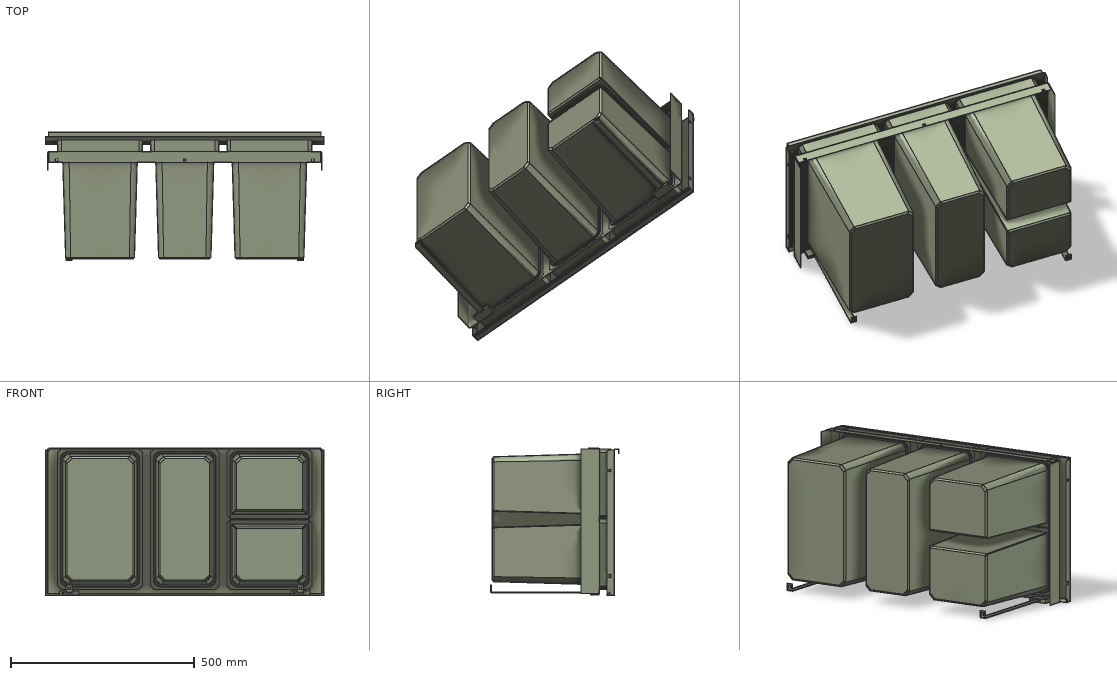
import cadquery as cq
import math


SHEET = 1.0

LID_WIDTH = 760.0
LID_FACE_Y = -12.0
LID_FRONT_Y = -33.0
LID_SIDE_HEIGHT = 397.5
LID_CORNER_CHAMFER = 5.0
HOOK_WIDTH = 745.0
HOOK_TOP_Z = 400.0
HOOK_DROP = 12.5
HOOK_BEND = 2.5
SILL_TOP_Z = 9.0
SILL_FRONT_Y = -25.0
NOTCH_DEPTH = 10.5
NOTCHES = ((338.0, 6.0), (49.0, 9.0))

FRAME_WIDTH = 748.0
FRAME_BACK_Y = -53.0
FRAME_BOTTOM_Z = 5.0
FRAME_SIDE_TOP_Z = 400.0
FRAME_TOP_Z = 402.0
FRAME_SIDE_DEPTH = 50.5
FRAME_TOP_DEPTH = 29.5
FRAME_TOP_WIDTH = 742.0
FRAME_SIDE_BEND = 4.0
FRAME_TOP_BEND = 3.0
FRAME_HOLE_X = (-350.0, 0.0, 350.0)
FRAME_HOLE_Y = -76.0
FRAME_HOLE_SIZE = (7.0, 4.5)
FRAME_FRONT_Y = FRAME_BACK_Y - SHEET

COLLAR_BACK_Y = -21.0
COLLAR_BOTTOM_Z = 16.0
COLLAR_TOP_Z = 400.5
COLLAR_CHAMFER = 10.0
COLLAR_MIDDLE_Z = (COLLAR_BOTTOM_Z + COLLAR_TOP_Z) / 2
FULL_HEIGHT = (COLLAR_BOTTOM_Z, COLLAR_TOP_Z)
WIDE_BIN_WIDTH = 231.5
NARROW_BIN_WIDTH = 186.5
BIN_GAP = 22.25
MIDDLE_COLUMN = (-NARROW_BIN_WIDTH / 2, NARROW_BIN_WIDTH / 2)
RIGHT_COLUMN = (MIDDLE_COLUMN[1] + BIN_GAP, MIDDLE_COLUMN[1] + BIN_GAP + WIDE_BIN_WIDTH)
LEFT_COLUMN = (-RIGHT_COLUMN[1], -RIGHT_COLUMN[0])
BIN_COLUMNS = (LEFT_COLUMN, MIDDLE_COLUMN, RIGHT_COLUMN)
OPENING_INSET = 7.5
OPENING_RADIUS = 22.0
RIM_FRONT_Y = FRAME_FRONT_Y - 3.0
RIM_CHAMFER = 1.5
BODY_INSET = 13.0
BODY_DRAFT = 8.5
BODY_RADIUS = 18.0
FLOOR_Y = -346.0
FLOOR_CORNER = 14.0
FLOOR_CHAMFER = 4.5
DIVIDER_CORNER = 2.0

ARM_X = 315.5
ARM_WIDTH = 16.0
ARM_THICKNESS = 2.0
ARM_BOTTOM_Z = 7.0
ARM_FRONT_Y = -350.3
ARM_TAB_TOP_Z = 28.0
ARM_BEND = 4.0
ARM_TAB_HOLE = 7.0
ARM_TAB_HOLE_Z = 19.5
BRACKET_WIDTH = 52.0
BRACKET_DEPTH = 23.0
BRACKET_BOTTOM_Z = 1.5
BRACKET_TOP_Z = 12.0
SCREW_HOLE_OFFSET = 17.0
SCREW_HOLE_DIAMETER = 4.0
LUG_LENGTH = 14.0
LUG_DEPTH = 10.0
LUG_TOP_Z = 18.0


def block(x_range, y_range, z_range):
    """Box between the given limits."""
    size = [high - low for low, high in (x_range, y_range, z_range)]
    corner = (x_range[0], y_range[0], z_range[0])
    return cq.Workplane("XY").box(*size, centered=False).translate(corner)


def side_profile(points, width):
    """Closed (Y, Z) outline extruded across X, centred on X = 0."""
    return cq.Workplane("YZ").polyline(points).close().extrude(width / 2, both=True)


def outline(x_range, z_range, y, bottom_corner, top_corner, arcs=False):
    """Closed outline in the plane Y = y whose four corners are cut off straight or by arcs."""
    left, right = x_range
    low, high = z_range
    b = bottom_corner
    t = top_corner
    arc_cut = 1 - math.sqrt(0.5)
    sketch = cq.Workplane("XZ", origin=(0, y, 0)).moveTo(left + b, low)

    def corner(middle, end):
        return sketch.threePointArc(middle, end) if arcs else sketch.lineTo(*end)

    sketch = sketch.lineTo(right - b, low)
    sketch = corner((right - b * arc_cut, low + b * arc_cut), (right, low + b))
    sketch = sketch.lineTo(right, high - t)
    sketch = corner((right - t * arc_cut, high - t * arc_cut), (right - t, high))
    sketch = sketch.lineTo(left + t, high)
    sketch = corner((left + t * arc_cut, high - t * arc_cut), (left, high - t))
    sketch = sketch.lineTo(left, low + b)
    sketch = corner((left + b * arc_cut, low + b * arc_cut), (left + b, low))
    return sketch.close()


def inset_range(limits, inset):
    """Limits moved inwards by the same amount at both ends."""
    return (limits[0] + inset, limits[1] - inset)


def make_lid():
    """Panel hooked over at the top, with a sill and a 45 degree lip below and two side flanges."""
    half = LID_WIDTH / 2
    inner_y = LID_FACE_Y - SHEET
    panel = block((-half, half), (inner_y, LID_FACE_Y), (0, LID_SIDE_HEIGHT))
    hook = side_profile(
        [
            (inner_y, LID_SIDE_HEIGHT - SHEET),
            (inner_y, HOOK_TOP_Z),
            (0, HOOK_TOP_Z),
            (0, HOOK_TOP_Z - HOOK_DROP),
            (-SHEET, HOOK_TOP_Z - HOOK_DROP),
            (-SHEET, HOOK_TOP_Z - SHEET),
            (LID_FACE_Y, HOOK_TOP_Z - SHEET),
            (LID_FACE_Y, LID_SIDE_HEIGHT - SHEET),
        ],
        HOOK_WIDTH,
    )
    hook = hook.edges("|X and >Y and >Z").fillet(HOOK_BEND)
    hook = hook.edges("|X and <Y and >Z").fillet(HOOK_BEND)
    lip_drop = SILL_FRONT_Y - LID_FRONT_Y
    lip_edge = SHEET * math.sqrt(0.5)
    sill = side_profile(
        [
            (inner_y, 0),
            (inner_y, SHEET),
            (SILL_FRONT_Y + SHEET, SHEET),
            (SILL_FRONT_Y + SHEET, SILL_TOP_Z),
            (SILL_FRONT_Y, SILL_TOP_Z),
            (LID_FRONT_Y, SILL_TOP_Z - lip_drop),
            (LID_FRONT_Y + lip_edge, SILL_TOP_Z - lip_drop - lip_edge),
            (SILL_FRONT_Y, SILL_TOP_Z - 2 * lip_edge),
            (SILL_FRONT_Y, 0),
        ],
        LID_WIDTH - 2 * SHEET,
    )
    lid = panel.union(hook).union(sill)
    for outer in (-half, half):
        inner = outer - math.copysign(SHEET, outer)
        x_range = sorted((outer, inner))
        flange = block(x_range, (LID_FRONT_Y, LID_FACE_Y), (0, LID_SIDE_HEIGHT))
        flange = flange.edges("|X and <Y and >Z").chamfer(LID_CORNER_CHAMFER)
        for notch_z, notch_height in NOTCHES:
            notch_y = (LID_FRONT_Y, LID_FRONT_Y + NOTCH_DEPTH)
            flange = flange.cut(block(x_range, notch_y, (notch_z, notch_z + notch_height)))
        lid = lid.union(flange)
    return lid


def make_frame():
    """Plate folded forward at both sides and the top, with three openings for the bins."""
    half = FRAME_WIDTH / 2
    side_front_y = FRAME_BACK_Y - FRAME_SIDE_DEPTH
    sides_z = (FRAME_BOTTOM_Z, FRAME_SIDE_TOP_Z)
    channel = block((-half, half), (side_front_y, FRAME_BACK_Y), sides_z)
    channel = channel.edges("|Z and >Y").fillet(FRAME_SIDE_BEND)
    space = block((-half + SHEET, half - SHEET), (side_front_y, FRAME_FRONT_Y), sides_z)
    space = space.edges("|Z and >Y").fillet(FRAME_SIDE_BEND - SHEET)
    top_front_y = FRAME_BACK_Y - FRAME_TOP_DEPTH
    top_x = (-FRAME_TOP_WIDTH / 2, FRAME_TOP_WIDTH / 2)
    fold_z = FRAME_SIDE_TOP_Z - 2 * FRAME_TOP_BEND
    fold = block(top_x, (top_front_y, FRAME_BACK_Y), (fold_z, FRAME_TOP_Z))
    fold = fold.edges("|X and >Y and >Z").fillet(FRAME_TOP_BEND)
    under = block(top_x, (top_front_y, FRAME_FRONT_Y), (fold_z, FRAME_TOP_Z - SHEET))
    under = under.edges("|X and >Y and >Z").fillet(FRAME_TOP_BEND - SHEET)
    frame = channel.cut(space).union(fold.cut(under))

    holes = (
        cq.Workplane("XY", origin=(0, FRAME_HOLE_Y, FRAME_TOP_Z))
        .pushPoints([(x, 0) for x in FRAME_HOLE_X])
        .rect(*FRAME_HOLE_SIZE)
        .extrude(-SHEET)
    )
    frame = frame.cut(holes)

    for x_range in BIN_COLUMNS:
        opening = outline(
            inset_range(x_range, OPENING_INSET),
            inset_range(FULL_HEIGHT, OPENING_INSET),
            FRAME_BACK_Y,
            OPENING_RADIUS,
            OPENING_RADIUS,
            arcs=True,
        )
        frame = frame.cut(opening.extrude(SHEET))
    return frame


def make_bin(x_range, z_range):
    """Tapered bin with a collar behind the frame and a rim that fills the frame opening."""
    meets_below = z_range[0] > COLLAR_BOTTOM_Z
    meets_above = z_range[1] < COLLAR_TOP_Z
    collar = outline(x_range, z_range, COLLAR_BACK_Y, COLLAR_CHAMFER, COLLAR_CHAMFER)
    collar = collar.extrude(COLLAR_BACK_Y - FRAME_BACK_Y)

    rim_x = inset_range(x_range, OPENING_INSET)
    rim_z = inset_range(FULL_HEIGHT, OPENING_INSET)
    rim = outline(rim_x, rim_z, FRAME_BACK_Y, OPENING_RADIUS, OPENING_RADIUS, arcs=True)
    rim = rim.extrude(FRAME_BACK_Y - RIM_FRONT_Y)
    rim = rim.intersect(block(x_range, (RIM_FRONT_Y, FRAME_BACK_Y), z_range))
    rim = rim.faces("<Y").edges().chamfer(RIM_CHAMFER)

    def section(y, inset, corner, arcs=False):
        bottom = DIVIDER_CORNER if meets_below else corner
        top = DIVIDER_CORNER if meets_above else corner
        section_x = inset_range(x_range, inset)
        section_z = inset_range(z_range, inset)
        return outline(section_x, section_z, y, bottom, top, arcs).wire().val()

    floor_inset = BODY_INSET + BODY_DRAFT
    mouth = section(FRAME_BACK_Y, BODY_INSET, BODY_RADIUS, arcs=True)
    floor_edge = section(FLOOR_Y + FLOOR_CHAMFER, floor_inset, FLOOR_CORNER)
    floor = section(FLOOR_Y, floor_inset + FLOOR_CHAMFER, FLOOR_CORNER)
    walls = cq.Solid.makeLoft([mouth, floor_edge], True)
    base = cq.Solid.makeLoft([floor_edge, floor], True)
    return collar.union(rim).union(cq.Workplane(walls)).union(cq.Workplane(base))


def make_arm(x):
    """Flat strip that runs forward and turns up into a pierced tab."""
    x_range = (x - ARM_WIDTH / 2, x + ARM_WIDTH / 2)
    strip_top = ARM_BOTTOM_Z + ARM_THICKNESS
    strip = block(x_range, (ARM_FRONT_Y, FRAME_FRONT_Y), (ARM_BOTTOM_Z, strip_top))
    tab_y = (ARM_FRONT_Y, ARM_FRONT_Y + ARM_THICKNESS)
    tab = block(x_range, tab_y, (ARM_BOTTOM_Z, ARM_TAB_TOP_Z))
    hole = block(
        (x - ARM_TAB_HOLE / 2, x + ARM_TAB_HOLE / 2),
        tab_y,
        (ARM_TAB_HOLE_Z - ARM_TAB_HOLE / 2, ARM_TAB_HOLE_Z + ARM_TAB_HOLE / 2),
    )
    arm = strip.union(tab).clean()
    arm = arm.edges("|X and <Y and <Z").fillet(ARM_BEND)
    inner_corner = cq.selectors.NearestToPointSelector((x, tab_y[1], strip_top))
    arm = arm.edges("|X").edges(inner_corner).fillet(ARM_BEND - ARM_THICKNESS)
    return arm.cut(hole)


def make_bracket(x):
    """Block in front of the frame with a slot for the support arm, a screw hole and a lug at one end."""
    y_range = (FRAME_FRONT_Y - BRACKET_DEPTH, FRAME_FRONT_Y)
    body = block(
        (x - BRACKET_WIDTH / 2, x + BRACKET_WIDTH / 2), y_range, (BRACKET_BOTTOM_Z, BRACKET_TOP_Z)
    )
    slot = block(
        (x - ARM_WIDTH / 2, x + ARM_WIDTH / 2),
        y_range,
        (ARM_BOTTOM_Z, ARM_BOTTOM_Z + ARM_THICKNESS),
    )
    lug_end = x + BRACKET_WIDTH / 2
    lug = block(
        (lug_end - LUG_LENGTH, lug_end),
        (FRAME_FRONT_Y - LUG_DEPTH, FRAME_FRONT_Y),
        (BRACKET_TOP_Z, LUG_TOP_Z),
    )
    screw_hole = (
        cq.Workplane("XZ", origin=(0, FRAME_FRONT_Y, 0))
        .center(x - SCREW_HOLE_OFFSET, (BRACKET_BOTTOM_Z + BRACKET_TOP_Z) / 2)
        .circle(SCREW_HOLE_DIAMETER / 2)
        .extrude(BRACKET_DEPTH)
    )
    return body.cut(slot).cut(screw_hole).union(lug)


lid = make_lid()
frame = make_frame()
bins = [
    make_bin(LEFT_COLUMN, FULL_HEIGHT),
    make_bin(MIDDLE_COLUMN, FULL_HEIGHT),
    make_bin(RIGHT_COLUMN, (COLLAR_BOTTOM_Z, COLLAR_MIDDLE_Z)),
    make_bin(RIGHT_COLUMN, (COLLAR_MIDDLE_Z, COLLAR_TOP_Z)),
]
arms = [make_arm(x) for x in (-ARM_X, ARM_X)]
brackets = [make_bracket(x) for x in (-ARM_X, ARM_X)]

bodies = [lid, frame, *bins, *arms, *brackets]
result = cq.Compound.makeCompound([body.solids().val() for body in bodies])